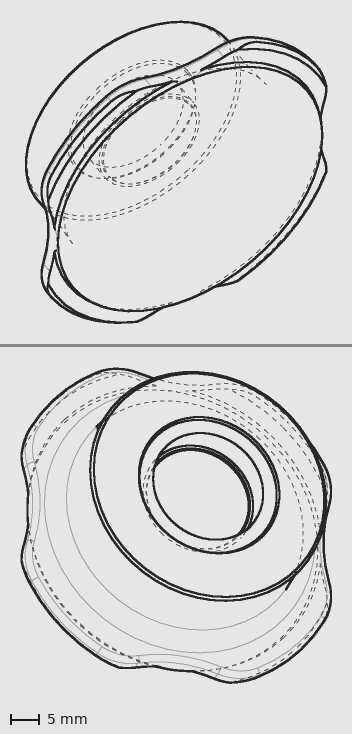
import cadquery as cq
import math

total_length = 20.0
flange_front = 16.0
flange_back = 19.1
rear_cone_start = 18.1

hub_front_radius = 21.45
hub_waist_radius = 21.25
hub_root_radius = 21.65
hub_chamfer = 0.5
root_fillet = 3.0

lobe_reach = 27.8
outer_radius = 30.35
lobe_radius = 9.8
valley_depth_radius = 26.4
rim_fillet = 1.0
rear_cone_radius = 29.6

back_disc_root_radius = 26.75
back_disc_end_radius = valley_depth_radius

recess_mouth_radius = 12.8
recess_floor_radius = 12.485
recess_depth = 0.5
bore_radius = 10.0
bore_end = 6.0
sink_mouth_radius = 9.45
sink_floor_radius = 9.3
sink_depth = 0.2

lobe_height = lobe_reach - lobe_radius
lobe_centre_distance = outer_radius - lobe_radius
lobe_offset = math.sqrt(lobe_centre_distance**2 - lobe_height**2)

height_gap = lobe_height - valley_depth_radius
valley_radius = (lobe_offset**2 + height_gap**2 - lobe_radius**2) / (2 * (lobe_radius + height_gap))


def revolve_about_x(profile):
    return profile.close().revolve(360, (0, 0, 0), (1, 0, 0))


def flange_outline():
    """Closed lobed outline in the YZ plane at the front of the flange."""
    join_share = valley_radius / (valley_radius + lobe_radius)
    valley_centre = valley_depth_radius + valley_radius
    valley_join_y = lobe_offset * join_share
    valley_join_z = valley_centre + (lobe_height - valley_centre) * join_share
    outer_scale = outer_radius / lobe_centre_distance
    outer_join_y = lobe_offset * outer_scale
    outer_join_z = lobe_height * outer_scale
    diagonal = outer_radius * math.sqrt(0.5)

    def turned(y, z, quarter):
        angle = -quarter * math.pi / 2
        return (
            y * math.cos(angle) - z * math.sin(angle),
            y * math.sin(angle) + z * math.cos(angle),
        )

    outline = cq.Workplane("YZ").workplane(offset=flange_front).moveTo(-valley_join_y, valley_join_z)
    for quarter in range(4):
        arcs = [
            ((0, valley_depth_radius), (valley_join_y, valley_join_z)),
            ((lobe_offset, lobe_reach), (outer_join_y, outer_join_z)),
            ((diagonal, diagonal), (outer_join_z, outer_join_y)),
            ((lobe_reach, lobe_offset), (valley_join_z, valley_join_y)),
        ]
        for middle, end in arcs:
            outline = outline.threePointArc(turned(*middle, quarter), turned(*end, quarter))
    return outline.close()


def make_flange():
    """Lobed flange with a rounded front rim, a rear cone and a tapered back disc."""
    blank = flange_outline().extrude(total_length - flange_front)
    blank = blank.faces("<X").edges().fillet(rim_fillet)
    envelope = revolve_about_x(
        cq.Workplane("XY")
        .moveTo(flange_front, 0)
        .lineTo(flange_front, outer_radius + rim_fillet)
        .lineTo(rear_cone_start, outer_radius + rim_fillet)
        .lineTo(rear_cone_start, outer_radius)
        .lineTo(flange_back, rear_cone_radius)
        .lineTo(flange_back, back_disc_root_radius)
        .lineTo(total_length, back_disc_end_radius)
        .lineTo(total_length, 0)
    )
    return blank.intersect(envelope)


def make_hub():
    """Waisted hub that sweeps out into the flange through a root fillet."""
    fillet_start = flange_front - root_fillet
    fillet_centre_radius = hub_root_radius + root_fillet
    fillet_middle = root_fillet * math.sqrt(0.5)
    waist_station = (hub_chamfer + fillet_start) / 2
    return revolve_about_x(
        cq.Workplane("XY")
        .lineTo(0, hub_front_radius - hub_chamfer)
        .lineTo(hub_chamfer, hub_front_radius)
        .threePointArc((waist_station, hub_waist_radius), (fillet_start, hub_root_radius))
        .threePointArc(
            (fillet_start + fillet_middle, fillet_centre_radius - fillet_middle),
            (flange_front, fillet_centre_radius),
        )
        .lineTo(rear_cone_start, fillet_centre_radius)
        .lineTo(rear_cone_start, 0)
    )


def make_bore():
    """Blind bore with a tapered recess at its mouth and a shallow sink in its floor."""
    return revolve_about_x(
        cq.Workplane("XY")
        .lineTo(0, recess_mouth_radius)
        .lineTo(recess_depth, recess_floor_radius)
        .lineTo(recess_depth, bore_radius)
        .lineTo(bore_end, bore_radius)
        .lineTo(bore_end, sink_mouth_radius)
        .lineTo(bore_end + sink_depth, sink_floor_radius)
        .lineTo(bore_end + sink_depth, 0)
    )


result = make_hub().union(make_flange()).cut(make_bore())